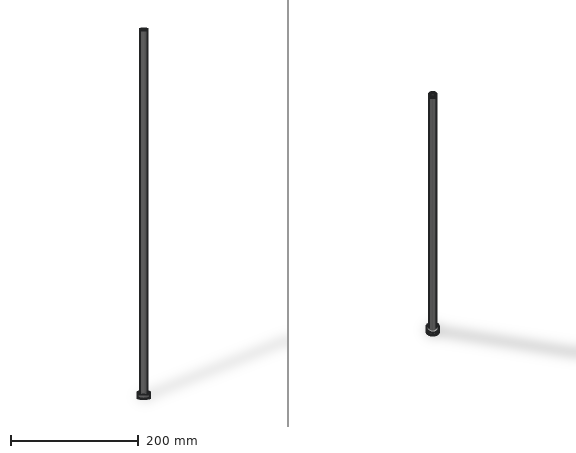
import cadquery as cq

total_length = 600.0
head_diameter = 20.0
head_height = 7.0
shaft_diameter = 12.0
bore_diameter = 8.0
neck_fillet_radius = 0.8

part_bottom = -total_length / 2
head_top = part_bottom + head_height


def make_cylinder(diameter, height):
    """Cylinder on the Z axis, rising from the bottom of the part."""
    return cq.Workplane("XY", origin=(0, 0, part_bottom)).circle(diameter / 2).extrude(height)


def round_neck(body):
    """Round the inner corner where the shaft meets the top of the head."""
    reach = (shaft_diameter + head_diameter) / 4
    half_band = neck_fillet_radius / 2
    neck_box = cq.selectors.BoxSelector(
        (-reach, -reach, head_top - half_band),
        (reach, reach, head_top + half_band),
        boundingbox=True,
    )
    return body.edges(neck_box).fillet(neck_fillet_radius)


head = make_cylinder(head_diameter, head_height)
shaft = make_cylinder(shaft_diameter, total_length)
bore = make_cylinder(bore_diameter, total_length)

result = round_neck(head.union(shaft)).cut(bore)